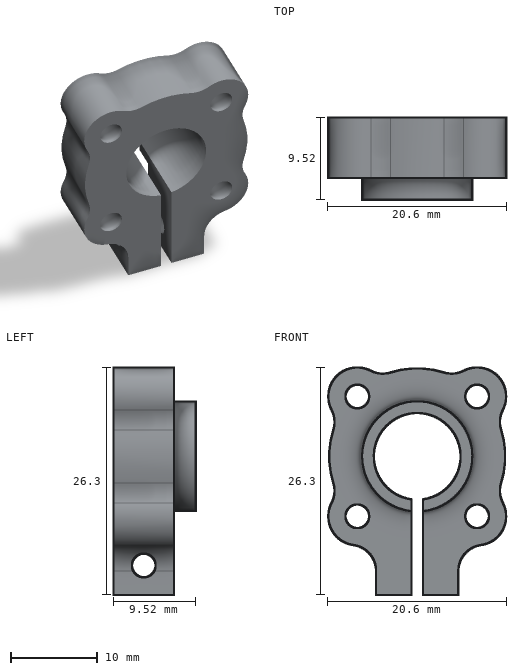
import cadquery as cq
import math

overall_height = 26.3
body_depth = 7.0
boss_length = 2.52
bore_radius = 5.0
boss_radius = 6.35

lobe_offset = 6.91
lobe_radius = 3.37
side_arc_radius = 10.17
blend_radius = 3.0
hole_diameter = 2.7

foot_width = 9.52
foot_bottom = lobe_offset + lobe_radius - overall_height
slot_width = 1.31
clamp_hole_height = 3.42


def toward(start, end, distance):
    """Point at a given distance from start on the line to end."""
    length = math.dist(start, end)
    return tuple(a + (b - a) * distance / length for a, b in zip(start, end))


def top_blend_center():
    """Centre, for the upper right lobe, of the blend touching the lobe and the top arc."""
    to_axis = side_arc_radius + blend_radius
    to_lobe = lobe_radius + blend_radius
    lobe_distance = math.hypot(lobe_offset, lobe_offset)
    cosine = (to_axis**2 + lobe_distance**2 - to_lobe**2) / (2 * to_axis * lobe_distance)
    angle = math.pi / 4 + math.acos(cosine)
    return to_axis * math.cos(angle), to_axis * math.sin(angle)


def foot_blend_center():
    """Centre of the blend touching the lower right lobe and the side of the foot."""
    x = foot_width / 2 + blend_radius
    drop = math.sqrt((lobe_radius + blend_radius) ** 2 - (x - lobe_offset) ** 2)
    return x, -lobe_offset - drop


def cylinder_along_bore(radius, front_y, back_y):
    """Cylinder on the bore axis between two Y positions."""
    return cq.Workplane("XZ", origin=(0, back_y, 0)).circle(radius).extrude(back_y - front_y)


def add_blend(outline, center, start, end):
    """Concave arc about center, from the side facing start to the side facing end."""
    first = toward(center, start, blend_radius)
    last = toward(center, end, blend_radius)
    chord_middle = ((first[0] + last[0]) / 2, (first[1] + last[1]) / 2)
    middle = toward(center, chord_middle, blend_radius)
    return outline.threePointArc(middle, last)


def half_outline():
    """Closed outline of the half of the body on the +X side."""
    upper_lobe = (lobe_offset, lobe_offset)
    lower_lobe = (lobe_offset, -lobe_offset)
    top_x, top_z = top_blend_center()
    foot_blend = foot_blend_center()
    diagonal = lobe_radius * math.sqrt(0.5)

    bore_axis = (0, 0)
    top_blend = (top_x, top_z)
    upper_side_blend = (top_z, top_x)
    lower_side_blend = (top_z, -top_x)
    half_arc_middle = toward(bore_axis, (top_x / 2, side_arc_radius), side_arc_radius)

    outline = cq.Workplane("XZ", origin=(0, body_depth, 0)).moveTo(0, side_arc_radius)
    outline = outline.threePointArc(half_arc_middle, toward(top_blend, bore_axis, blend_radius))
    outline = add_blend(outline, top_blend, bore_axis, upper_lobe)
    outline = outline.threePointArc(
        (lobe_offset + diagonal, lobe_offset + diagonal),
        toward(upper_side_blend, upper_lobe, blend_radius),
    )
    outline = add_blend(outline, upper_side_blend, upper_lobe, bore_axis)
    outline = outline.threePointArc(
        (side_arc_radius, 0), toward(lower_side_blend, bore_axis, blend_radius)
    )
    outline = add_blend(outline, lower_side_blend, bore_axis, lower_lobe)
    outline = outline.threePointArc(
        (lobe_offset + diagonal, -lobe_offset - diagonal),
        toward(foot_blend, lower_lobe, blend_radius),
    )
    outline = add_blend(outline, foot_blend, lower_lobe, (foot_width / 2, foot_blend[1]))
    return outline.lineTo(foot_width / 2, foot_bottom).lineTo(0, foot_bottom).close()


half_body = half_outline().extrude(body_depth)
body = half_body.union(half_body.mirror("YZ"))
body = body.union(cylinder_along_bore(boss_radius, -boss_length, body_depth))

body = body.cut(cylinder_along_bore(bore_radius, -boss_length, body_depth))

mounting_holes = (
    cq.Workplane("XZ", origin=(0, body_depth, 0))
    .rect(2 * lobe_offset, 2 * lobe_offset, forConstruction=True)
    .vertices()
    .circle(hole_diameter / 2)
    .extrude(body_depth)
)
body = body.cut(mounting_holes)

slot = cq.Workplane("XY").box(
    slot_width, body_depth + boss_length, -foot_bottom, centered=(True, False, False)
)
body = body.cut(slot.translate((0, -boss_length, foot_bottom)))

clamp_hole = (
    cq.Workplane("YZ", origin=(0, body_depth / 2, foot_bottom + clamp_hole_height))
    .circle(hole_diameter / 2)
    .extrude(lobe_offset + lobe_radius, both=True)
)
result = body.cut(clamp_hole)